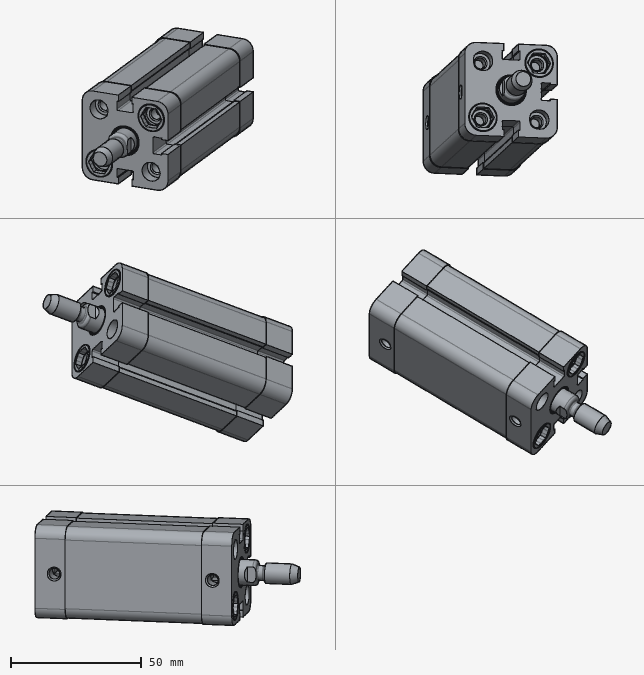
import cadquery as cq
import math


overall_length = 99.6
rod_reach = 22.6
housing_length = overall_length - rod_reach
cap_length = 11.9
barrel_length = housing_length - 2 * cap_length

cap_width = 36.3
cap_corner_radius = 4.5
barrel_width = 35.8
barrel_corner_radius = 4.5

slot_floor = 11.9
slot_lip = 15.4
slot_width = 6.9
slot_floor_fillet = 0.5
cap_mouth_width = 5.7
barrel_mouth_width = 6.3
slot_angles = (-90, 0, 90)

corner_pitch = 22.0
tap_diameter = 4.2
tap_depth = 5.0
tap_countersink_diameter = 5.2
plain_bore_diameter = 7.6
plain_bore_depth = 4.8
head_diameter = 11.1
head_face_diameter = 10.5
head_chamfer = (head_diameter - head_face_diameter) / 2
hexagon_across_flats = 7.8
hexagon_depth = 2.5
socket_relief_diameter = 8.0
socket_bore_diameter = 7.5
socket_depth = 4.0

port_offset = 7.6
port_diameter = 4.2
port_countersink_diameter = 5.4
port_depth = 7.0
port_slot_height = 2.7
port_slot_outer_reach = 1.5
port_slot_inner_reach = 2.3

rod_diameter = 10.0
rod_fillet = 1.3
shoulder_reach = 6.6
neck_diameter = 5.8
neck_end = 9.0
neck_fillet = 0.4
thread_diameter = 8.0
thread_start = 9.9
thread_end = 19.7
tip_diameter = 5.8
flats_width = 8.0
flats_start = 3.2
rod_rear_end = 72.7

wiper_mouth_diameter = 12.0
wiper_recess_diameter = 11.4
wiper_mouth_depth = (wiper_mouth_diameter - wiper_recess_diameter) / 2
wiper_recess_depth = 1.0
wiper_lip_diameter = 10.9
wiper_lip_face_diameter = 10.5
wiper_lip_height = 0.6


def cylinder(x, y, z, diameter, length):
    """Cylinder along +Y whose front end is centred on (x, y, z)."""
    return cq.Workplane(cq.Solid.makeCylinder(diameter / 2, length, cq.Vector(x, y, z), cq.Vector(0, 1, 0)))


def cone(x, y, z, front_diameter, rear_diameter, length):
    """Cone along +Y whose front end is centred on (x, y, z)."""
    return cq.Workplane(
        cq.Solid.makeCone(
            front_diameter / 2, rear_diameter / 2, length, cq.Vector(x, y, z), cq.Vector(0, 1, 0)
        )
    )


def box(x_range, y_range, z_range):
    """Box between the given limits, each a (low, high) pair."""
    limits = (x_range, y_range, z_range)
    sizes = [high - low for low, high in limits]
    corner = tuple(low for low, high in limits)
    return cq.Workplane().box(*sizes, centered=False).translate(corner)


def slot_cutter(y_start, length, mouth_width):
    """T-slot on the +X side."""
    y_range = (y_start, y_start + length)
    channel = box((slot_floor, slot_lip), y_range, (-slot_width / 2, slot_width / 2))
    mouth = box((slot_lip, cap_width), y_range, (-mouth_width / 2, mouth_width / 2))
    channel = channel.edges("|Y and <X").fillet(slot_floor_fillet)
    return channel.union(mouth)


def slotted_block(y_start, length, width, corner_radius, mouth_width):
    """Square block with rounded long edges and three T-slots."""
    half = width / 2
    block = box((-half, half), (y_start, y_start + length), (-half, half)).edges("|Y").fillet(corner_radius)
    cutter = slot_cutter(y_start, length, mouth_width)
    for angle in slot_angles:
        block = block.cut(cutter.rotate((0, 0, 0), (0, 1, 0), angle))
    return block


def countersunk_tap(x, y, z):
    """Tapped hole along +Y with a countersunk mouth."""
    sink_depth = (tap_countersink_diameter - tap_diameter) / 2
    sink = cone(x, y, z, tap_countersink_diameter, tap_diameter, sink_depth)
    return cylinder(x, y, z, tap_diameter, tap_depth).union(sink)


def port_cutter(y, inward):
    """Air port from the -X side, ending in a narrow slot that reaches the rod.

    `inward` is 1 where the barrel lies toward +Y and -1 where it lies toward -Y.
    """
    half = cap_width / 2
    sink_depth = (port_countersink_diameter - port_diameter) / 2
    axis = cq.Vector(1, 0, 0)
    mouth = cq.Vector(-half, y, 0)
    hole = cq.Workplane(cq.Solid.makeCylinder(port_diameter / 2, port_depth, mouth, axis))
    sink = cq.Solid.makeCone(port_countersink_diameter / 2, port_diameter / 2, sink_depth, mouth, axis)
    slot = box(
        (-half + port_depth, 0),
        sorted((y - inward * port_slot_outer_reach, y + inward * port_slot_inner_reach)),
        (-port_slot_height / 2, port_slot_height / 2),
    )
    return hole.union(cq.Workplane(sink)).union(slot)


def head_groove(x, z):
    """V-shaped ring that the chamfer of a round head leaves in the front face."""
    ring = cylinder(x, 0, z, head_diameter, head_chamfer)
    return ring.cut(cone(x, 0, z, head_face_diameter, head_diameter, head_chamfer))


def hexagon_socket(x, z):
    """Hexagon with corners toward -X and +X, round reliefs in its sides and a bore at its bottom."""
    corner_radius = hexagon_across_flats / 2 / math.cos(math.pi / 6)
    angles = [corner * math.pi / 3 for corner in range(6)]
    hexagon = (
        cq.Workplane("XZ", origin=(x, 0, z))
        .polyline([(corner_radius * math.cos(angle), corner_radius * math.sin(angle)) for angle in angles])
        .close()
        .extrude(-hexagon_depth)
    )
    relief = cylinder(x, 0, z, socket_relief_diameter, hexagon_depth)
    bore = cylinder(x, 0, z, socket_bore_diameter, socket_depth)
    return hexagon.union(relief).union(bore)


def wiper_groove():
    """Recess round the rod with a countersunk mouth and a chamfered lip left at its bottom."""
    recess = cylinder(0, 0, 0, wiper_recess_diameter, wiper_recess_depth)
    mouth = cone(0, 0, 0, wiper_mouth_diameter, wiper_recess_diameter, wiper_mouth_depth)
    lip_front = wiper_recess_depth - wiper_lip_height
    chamfer = (wiper_lip_diameter - wiper_lip_face_diameter) / 2
    lip = cylinder(0, lip_front, 0, wiper_lip_diameter, wiper_lip_height).faces("<Y").chamfer(chamfer)
    return recess.union(mouth).cut(lip)


def make_front_cap():
    cap = slotted_block(0, cap_length, cap_width, cap_corner_radius, cap_mouth_width)
    offset = corner_pitch / 2

    for x, z in ((-offset, offset), (offset, -offset)):
        cap = cap.cut(cylinder(x, 0, z, plain_bore_diameter, plain_bore_depth))
        cap = cap.cut(countersunk_tap(x, plain_bore_depth, z))

    for x, z in ((-offset, -offset), (offset, offset)):
        cap = cap.cut(head_groove(x, z)).cut(hexagon_socket(x, z))
        cap = cap.cut(countersunk_tap(x, socket_depth, z))

    cap = cap.cut(cylinder(0, 0, 0, rod_diameter, cap_length)).cut(wiper_groove())
    return cap.cut(port_cutter(port_offset, 1))


def make_barrel():
    barrel = slotted_block(
        cap_length, barrel_length, barrel_width, barrel_corner_radius, barrel_mouth_width
    )
    return barrel.cut(cylinder(0, cap_length, 0, rod_diameter, barrel_length))


def make_rear_cap():
    y_start = cap_length + barrel_length
    cap = slotted_block(y_start, cap_length, cap_width, cap_corner_radius, cap_mouth_width)
    cap = cap.cut(port_cutter(housing_length - port_offset, -1))
    return cap.cut(cylinder(0, y_start, 0, rod_diameter, rod_rear_end - y_start))


def make_rod():
    shoulder = cylinder(0, -shoulder_reach, 0, rod_diameter, shoulder_reach + rod_rear_end)
    shoulder = shoulder.faces("<Y").edges().fillet(rod_fillet)
    for side in (-1, 1):
        flat = (
            cq.Workplane("XY")
            .polyline(
                [
                    (side * flats_width / 2, -shoulder_reach),
                    (side * flats_width / 2, -flats_start),
                    (side * rod_diameter / 2, -flats_start + (rod_diameter - flats_width) / 2),
                    (side * rod_diameter / 2, -shoulder_reach),
                ]
            )
            .close()
            .extrude(rod_diameter / 2, both=True)
        )
        shoulder = shoulder.cut(flat)
    stud = (
        cq.Workplane("XY")
        .polyline(
            [
                (0, -rod_reach),
                (tip_diameter / 2, -rod_reach),
                (thread_diameter / 2, -thread_end),
                (thread_diameter / 2, -thread_start),
                (neck_diameter / 2, -neck_end),
                (neck_diameter / 2, -shoulder_reach),
                (0, -shoulder_reach),
            ]
        )
        .close()
        .revolve(360, (0, 0, 0), (0, 1, 0))
    )
    neck_ends = cq.selectors.BoxSelector(
        (-1, -neck_end - neck_fillet, -1), (1, -shoulder_reach + neck_fillet, 1)
    )
    rod = shoulder.union(stud)
    return rod.edges(neck_ends).edges(cq.selectors.RadiusNthSelector(0)).fillet(neck_fillet)


front_cap = make_front_cap()
barrel = make_barrel()
rear_cap = make_rear_cap()
rod = make_rod()

result = cq.Compound.makeCompound([front_cap.val(), barrel.val(), rear_cap.val(), rod.val()])